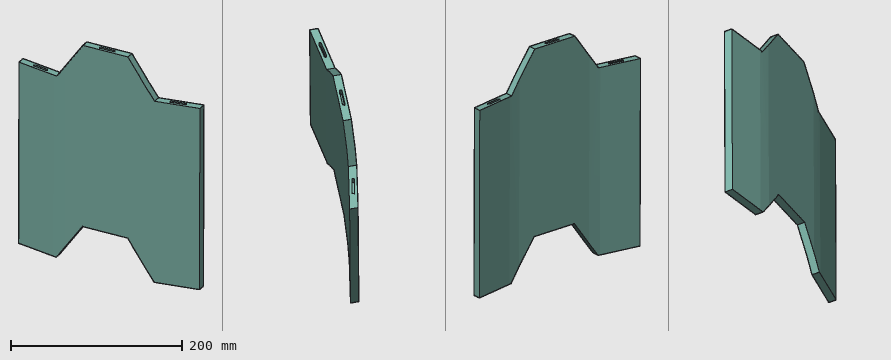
import cadquery as cq
import math

width = 240.0
thickness = 10.0
wing_angle = 9.7
fold_x = 59.85
front_fold_radius = 100.0
back_fold_radius = front_fold_radius - thickness
lean = 0.0039

total_height = 290.0
wing_height = 240.0
tab_rise = total_height - wing_height
tab_half_width = 30.0
wing_inner_x = 65.0

slot_length = 20.0
slot_width = 3.0
slot_depth = 10.0
wing_slot_x = 91.2

half_width = width / 2
wing_slope = math.tan(math.radians(wing_angle))
half_angle_tangent = math.tan(math.radians(wing_angle / 2))


def back_y(x):
    """Y of the sharp back face at z = 0, at distance x from the middle."""
    return thickness + max(0.0, abs(x) - fold_x) * wing_slope


def section_outline():
    """Horizontal section of the sheet, with sharp folds, at z = 0."""
    wing_thickness = thickness / math.cos(math.radians(wing_angle))
    front_fold_x = fold_x + thickness * half_angle_tangent
    back_tip_y = back_y(half_width)
    front_tip_y = back_tip_y - wing_thickness
    return [
        (-half_width, front_tip_y),
        (-front_fold_x, 0.0),
        (front_fold_x, 0.0),
        (half_width, front_tip_y),
        (half_width, back_tip_y),
        (fold_x, thickness),
        (-fold_x, thickness),
        (-half_width, back_tip_y),
    ]


def section_wire(z):
    """The section at height z, shifted by the lean of the sheet."""
    points = [cq.Vector(x, y + lean * z, z) for x, y in section_outline()]
    return cq.Wire.makePolygon(points, close=True)


def fold_edges(sheet, y):
    """The two upright fold edges on the face that crosses z = 0 at y."""
    reach = thickness / 3
    middle_y = y + lean * total_height / 2
    edges = []
    for edge in sheet.Edges():
        center = edge.Center()
        upright = edge.BoundingBox().zlen > wing_height
        if upright and abs(center.y - middle_y) < reach and abs(center.x) < wing_inner_x:
            edges.append(edge)
    return edges


def folded_sheet():
    sheet = cq.Solid.makeLoft([section_wire(0.0), section_wire(total_height)], True)
    sheet = sheet.fillet(front_fold_radius, fold_edges(sheet, 0.0))
    return sheet.fillet(back_fold_radius, fold_edges(sheet, thickness))


def outline_prism():
    """Prism along Y that keeps the sheet inside its outline; its lower edge repeats the upper one."""
    edge = [
        (-half_width, 0.0),
        (-wing_inner_x, 0.0),
        (-tab_half_width, tab_rise),
        (tab_half_width, tab_rise),
        (wing_inner_x, 0.0),
        (half_width, 0.0),
    ]
    upper_edge = [(x, z + wing_height) for x, z in reversed(edge)]
    return cq.Workplane("XZ").polyline(edge + upper_edge).close().extrude(half_width, both=True)


def slot(x, top_z, angle):
    """Blind slot in the top edge at x, centred in the thickness of the sheet."""
    half_y = thickness / 2 / math.cos(math.radians(angle))
    y = back_y(x) - half_y + lean * top_z
    return (
        cq.Workplane("XY", origin=(x, y, top_z))
        .slot2D(slot_length, slot_width, angle)
        .extrude(-slot_depth)
    )


result = cq.Workplane(folded_sheet()).intersect(outline_prism())
result = result.cut(slot(0.0, total_height, 0.0))
for side in (-1, 1):
    result = result.cut(slot(side * wing_slot_x, wing_height, side * wing_angle))